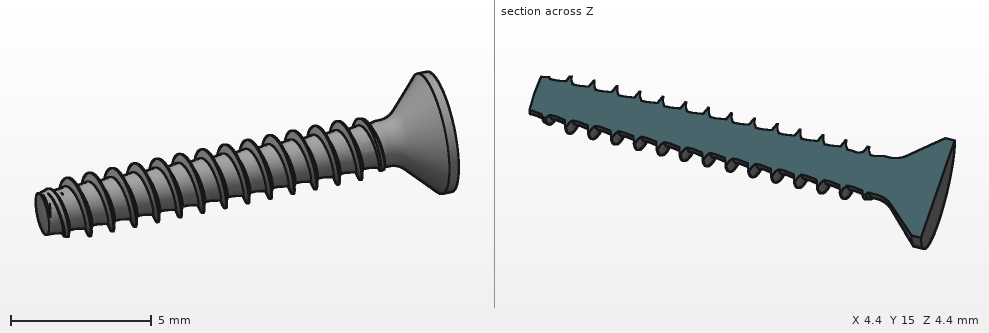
import cadquery as cq
import math

length = 15.0

head_radius = 4.4 / 2
rim_thickness = 0.36
neck_radius = 1.7 / 2
neck_fillet_radius = 0.85
neck_end_depth = 2.24
core_radius = 1.52 / 2
core_start_depth = 2.58
countersink_angle = math.radians(45)

tip_face_radius = 1.42 / 2
tip_bevel_length = 0.02
tip_cone_height = 0.03

pitch = 10.2 / 12
crest_depth = 3.32
turns_above_crest = 1.5
turns_below_crest = 14
crest_radius = 2.24 / 2
crest_half_width = 0.018
knee_radius = 0.9
knee_offset = 0.08
base_radius = 0.7
head_side_base = 0.2
tip_side_foot = 0.12
tip_side_foot_radius = 1.64 / 2
root_taper_length = 0.38
root_taper_overrun = 0.12

run_in_start_radius = 1.82 / 2
run_in_length = 0.85
run_out_start_depth = 13.77
run_out_length = 1.11
run_out_end_radius = 0.76

trim_allowance = 1.2
crest_clearance = 0.08


def turned(profile):
    """Revolve a closed sketch of radius and height about Z."""
    return profile.close().revolve(360, (0, 0, 0), (0, 1, 0))


def make_head():
    """Rim, countersink cone, fillet and straight neck."""
    fillet_drop = neck_fillet_radius * (1 - math.cos(countersink_angle))
    fillet_length = neck_fillet_radius * math.sin(countersink_angle)
    cone_end_radius = neck_radius + fillet_drop
    cone_length = (head_radius - cone_end_radius) / math.tan(countersink_angle)
    cone_end_depth = rim_thickness + cone_length
    fillet_end_depth = cone_end_depth + fillet_length
    half_angle = countersink_angle / 2
    arc_middle = (
        neck_radius + neck_fillet_radius * (1 - math.cos(half_angle)),
        -fillet_end_depth + neck_fillet_radius * math.sin(half_angle),
    )
    return turned(
        cq.Workplane("XZ")
        .lineTo(head_radius, 0)
        .lineTo(head_radius, -rim_thickness)
        .lineTo(cone_end_radius, -cone_end_depth)
        .threePointArc(arc_middle, (neck_radius, -fillet_end_depth))
        .lineTo(neck_radius, -neck_end_depth)
        .lineTo(0, -neck_end_depth)
    )


def make_neck_taper():
    """Cone from the neck down to the core, ending just inside the core."""
    slope = (neck_radius - core_radius) / (core_start_depth - neck_end_depth)
    buried_depth = neck_end_depth + (neck_radius - base_radius) / slope
    return turned(
        cq.Workplane("XZ")
        .moveTo(0, -neck_end_depth)
        .lineTo(neck_radius, -neck_end_depth)
        .lineTo(base_radius, -buried_depth)
        .lineTo(0, -buried_depth)
    )


def make_core():
    """Plain core rod, longer than the threaded length at both ends."""
    top_depth = neck_end_depth - trim_allowance
    rod_length = length + 2 * trim_allowance - neck_end_depth
    return cq.Workplane("XY", origin=(0, 0, -top_depth)).circle(core_radius).extrude(-rod_length)


def make_ridge():
    """Thread ridge at full height, swept along a right-handed helix."""
    taper_slope = (tip_side_foot_radius - core_radius) / root_taper_length
    tail_length = root_taper_length + root_taper_overrun
    tail_depth = tip_side_foot + tail_length
    tail_radius = tip_side_foot_radius - taper_slope * tail_length
    start_height = -crest_depth - turns_below_crest * pitch
    helix_height = (turns_below_crest + turns_above_crest) * pitch
    section = [
        (base_radius, head_side_base),
        (knee_radius, knee_offset),
        (crest_radius, crest_half_width),
        (crest_radius, -crest_half_width),
        (tip_side_foot_radius, -tip_side_foot),
        (tail_radius, -tail_depth),
        (base_radius, -tail_depth),
    ]
    helix = cq.Workplane(cq.Wire.makeHelix(pitch, helix_height, crest_radius))
    ridge = cq.Workplane("XZ").polyline(section).close().sweep(helix, isFrenet=True)
    return ridge.translate((0, 0, start_height))


def make_thread_limit():
    """Turned limit of the threaded length, including the tip.

    The run-in and run-out cones continue until they clear the crest.
    """
    run_in_slope = (crest_radius - run_in_start_radius) / run_in_length
    run_out_slope = (crest_radius - run_out_end_radius) / run_out_length
    clear_radius = crest_radius + crest_clearance
    clear_start = neck_end_depth + (clear_radius - run_in_start_radius) / run_in_slope
    clear_end = run_out_start_depth - crest_clearance / run_out_slope
    tip_edge_depth = length - tip_cone_height
    return turned(
        cq.Workplane("XZ")
        .moveTo(0, -neck_end_depth)
        .lineTo(run_in_start_radius, -neck_end_depth)
        .lineTo(clear_radius, -clear_start)
        .lineTo(clear_radius, -clear_end)
        .lineTo(run_out_end_radius, -run_out_start_depth - run_out_length)
        .lineTo(run_out_end_radius, -tip_edge_depth + tip_bevel_length)
        .lineTo(tip_face_radius, -tip_edge_depth)
        .lineTo(0, -length)
    )


threaded_core = make_core().union(make_ridge()).intersect(make_thread_limit())
screw = threaded_core.union(make_neck_taper()).union(make_head())
result = screw.rotate((0, 0, 0), (1, 0, 0), -90)